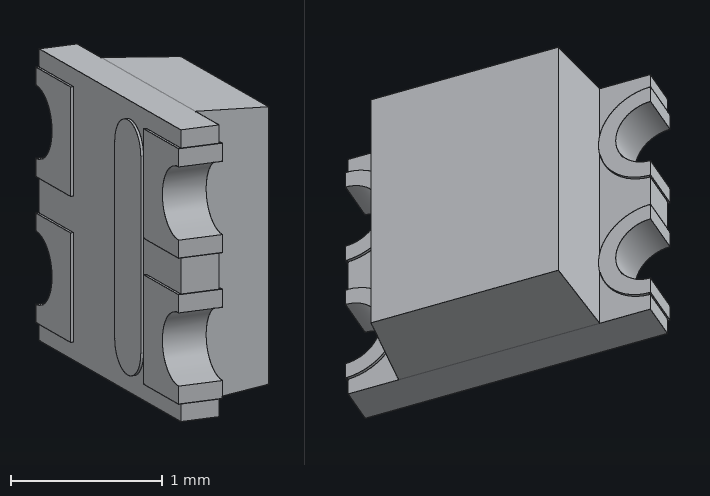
import cadquery as cq
import math

length = 2.2
height = 2.0
depth = 0.86

board_thickness = 0.28
plating = 0.02
end_plating = 0.01

terminal_pitch = 1.0
pad_length = 0.54
pad_height = 0.75
notch_radius = 0.25

mark_width = 0.4
mark_height = 1.75
mark_x = 0.317

draft_angle = 5.0

board_length = length - 2 * end_plating
land_radius = pad_height / 2
lens_length = length - 2 * land_radius
lens_depth = depth - plating - board_thickness
lens_inset = lens_depth * math.tan(math.radians(draft_angle))
terminal_depth = board_thickness + 2 * plating


def block(size_x, size_y, size_z, x, front_y, z):
    """Box centred on x and z, reaching back from front_y."""
    return cq.Workplane("XY").box(size_x, size_y, size_z).translate((x, front_y + size_y / 2, z))


def rod(radius, rod_depth, x, front_y, z):
    """Cylinder along Y, reaching back from front_y."""
    return cq.Workplane("XZ", origin=(x, front_y, z)).circle(radius).extrude(-rod_depth)


def make_lens():
    """Block with all four sides drafted towards its outer face."""
    return (
        cq.Workplane("XZ", origin=(0, board_thickness, 0))
        .rect(lens_length, height)
        .workplane(offset=-lens_depth)
        .rect(lens_length - 2 * lens_inset, height - 2 * lens_inset)
        .loft(ruled=True)
    )


def make_mark():
    """Raised round-ended bar on the pad face."""
    return (
        cq.Workplane("XZ", origin=(mark_x, 0, 0))
        .slot2D(mark_height, mark_width, 90)
        .extrude(plating)
    )


def make_terminal(side, z):
    """Front pad, end plating and half-round rear land; side is -1 or 1."""
    end_x = side * length / 2
    front_pad = block(pad_length, plating, pad_height, end_x - side * pad_length / 2, -plating, z)
    end_strip = block(
        end_plating, terminal_depth, pad_height, end_x - side * end_plating / 2, -plating, z
    )
    land_bounds = block(
        land_radius, plating, pad_height, end_x - side * land_radius / 2, board_thickness, z
    )
    rear_land = rod(land_radius, plating, end_x, board_thickness, z).intersect(land_bounds)
    return front_pad.union(end_strip).union(rear_land)


result = block(board_length, board_thickness, height, 0, 0, 0)
result = result.union(make_lens()).union(make_mark())

for side in (-1, 1):
    for z in (-terminal_pitch / 2, terminal_pitch / 2):
        notch = rod(notch_radius, terminal_depth, side * length / 2, -plating, z)
        result = result.union(make_terminal(side, z)).cut(notch)